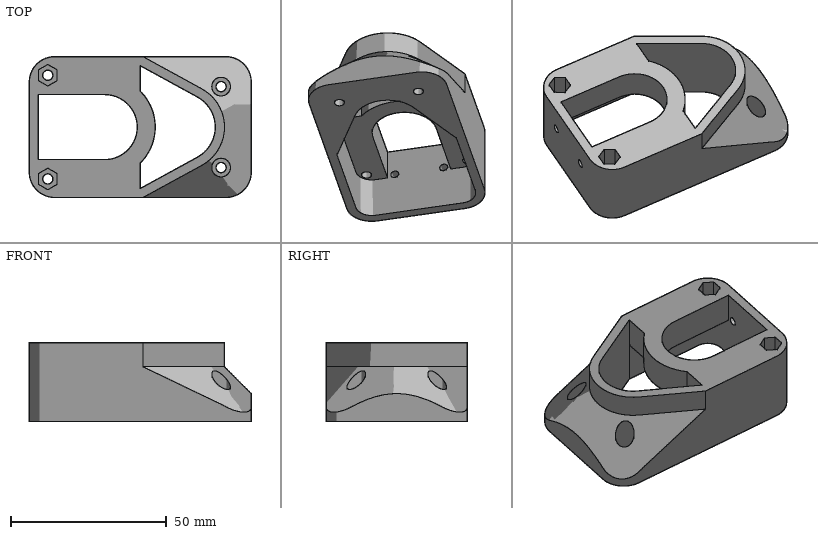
import math
import cadquery as cq

LENGTH = 71.38
WIDTH = 45.31
HEIGHT = 25.4
CORNER_RADIUS = 8.25
WALL = 3.0

NOSE_TIP_X = 62.75
NOSE_RADIUS = 14.0
NOSE_CENTER_X = NOSE_TIP_X - NOSE_RADIUS
FLANK_START_X = 36.5

SKIRT_TOP_Z = 17.65
SKIRT_ANGLE = 45.0

PLATE_THICKNESS = 10.7
PLATE_BOTTOM_Z = HEIGHT - PLATE_THICKNESS
SLOT_RADIUS = 10.4
SLOT_CENTER_X = 24.3
COLLAR_WIDTH = 5.85
COLLAR_RADIUS = SLOT_RADIUS + COLLAR_WIDTH

SCREW_DIAMETER = 3.2
NUT_ACROSS_FLATS = 6.0
HEXAGON_TURN = 30.0
NUT_X = WALL + NUT_ACROSS_FLATS / 2
NUT_Y = 16.65
NUT_POCKET_DEPTH = PLATE_THICKNESS - WALL

COUNTERBORE_DIAMETER = 6.0
SKIRT_SCREW_X = 61.65
SKIRT_SCREW_Y = 13.0
SKIRT_SCREW_FLOOR_Z = WALL

SIDE_HOLE_DIAMETER = 2.6
SIDE_HOLE_Y = 8.05
SIDE_HOLE_Z = 15.8

to_start_x = FLANK_START_X - NOSE_CENTER_X
to_start_y = WIDTH / 2
start_direction = math.atan2(to_start_y, to_start_x)
FLANK_NORMAL = start_direction - math.acos(NOSE_RADIUS / math.hypot(to_start_x, to_start_y))


def flank_x(y, radius):
    """X at which the flank tangent to a nose of the given radius reaches the given Y."""
    return NOSE_CENTER_X + (radius - y * math.sin(FLANK_NORMAL)) / math.cos(FLANK_NORMAL)


def nose_outline(radius, z):
    """Rounded nose whose flanks run back, widening, to the left face of the block."""
    tangent_x = NOSE_CENTER_X + radius * math.cos(FLANK_NORMAL)
    tangent_y = radius * math.sin(FLANK_NORMAL)
    back_y = (radius + NOSE_CENTER_X * math.cos(FLANK_NORMAL)) / math.sin(FLANK_NORMAL)
    return (
        cq.Workplane("XY", origin=(0, 0, z))
        .moveTo(0, -back_y)
        .lineTo(tangent_x, -tangent_y)
        .threePointArc((NOSE_CENTER_X + radius, 0), (tangent_x, tangent_y))
        .lineTo(0, back_y)
        .close()
    )


def rounded_block(inset):
    """Full-height block with rounded corners, set in on all four sides."""
    return (
        cq.Workplane("XY")
        .center(LENGTH / 2, 0)
        .rect(LENGTH - 2 * inset, WIDTH - 2 * inset)
        .extrude(HEIGHT)
        .edges("|Z")
        .fillet(CORNER_RADIUS - inset)
    )


def box_between(x_start, x_end, width, z_start, z_end):
    """Box centred on Y = 0."""
    return (
        cq.Workplane("XY", origin=((x_start + x_end) / 2, 0, z_start))
        .rect(x_end - x_start, width)
        .extrude(z_end - z_start)
    )


def upright_cylinder(x, y, diameter, z_start):
    """Vertical cylinder from the given height to the top of the part."""
    return cq.Workplane("XY", origin=(x, y, z_start)).circle(diameter / 2).extrude(HEIGHT - z_start)


def outer_body():
    upright = nose_outline(NOSE_RADIUS, SKIRT_TOP_Z).extrude(HEIGHT - SKIRT_TOP_Z)
    skirt = nose_outline(NOSE_RADIUS, SKIRT_TOP_Z).extrude(-SKIRT_TOP_Z, taper=-SKIRT_ANGLE)
    block = rounded_block(0)
    return block.intersect(upright).union(block.intersect(skirt))


def cavity():
    """Hollow with an even wall, open below; the plate and collar close part of its top."""
    inner_radius = NOSE_RADIUS - WALL
    hollow = nose_outline(inner_radius, 0).extrude(HEIGHT).intersect(rounded_block(WALL))
    plate_end_x = flank_x(WIDTH / 2 - WALL, inner_radius)
    plate = box_between(0, plate_end_x, WIDTH, PLATE_BOTTOM_Z, HEIGHT)
    collar = upright_cylinder(SLOT_CENTER_X, 0, 2 * COLLAR_RADIUS, PLATE_BOTTOM_Z)
    return hollow.cut(plate).cut(collar)


def slot():
    straight = box_between(WALL, SLOT_CENTER_X, 2 * SLOT_RADIUS, PLATE_BOTTOM_Z, HEIGHT)
    return straight.union(upright_cylinder(SLOT_CENTER_X, 0, 2 * SLOT_RADIUS, PLATE_BOTTOM_Z))


def nut_hole(y):
    """Through hole below a hexagonal pocket with two flats facing along X."""
    corner_diameter = NUT_ACROSS_FLATS / math.cos(math.pi / 6)
    pocket = (
        cq.Workplane("XY")
        .polygon(6, corner_diameter)
        .extrude(NUT_POCKET_DEPTH)
        .rotate((0, 0, 0), (0, 0, 1), HEXAGON_TURN)
        .translate((NUT_X, y, HEIGHT - NUT_POCKET_DEPTH))
    )
    return pocket.union(upright_cylinder(NUT_X, y, SCREW_DIAMETER, 0))


def skirt_hole(y):
    counterbore = upright_cylinder(SKIRT_SCREW_X, y, COUNTERBORE_DIAMETER, SKIRT_SCREW_FLOOR_Z)
    return counterbore.union(upright_cylinder(SKIRT_SCREW_X, y, SCREW_DIAMETER, 0))


def side_hole(y):
    return cq.Workplane("YZ").center(y, SIDE_HOLE_Z).circle(SIDE_HOLE_DIAMETER / 2).extrude(WALL)


body = outer_body().cut(cavity()).cut(slot())
for side in (-1, 1):
    body = body.cut(nut_hole(side * NUT_Y))
    body = body.cut(skirt_hole(side * SKIRT_SCREW_Y))
    body = body.cut(side_hole(side * SIDE_HOLE_Y))

result = body